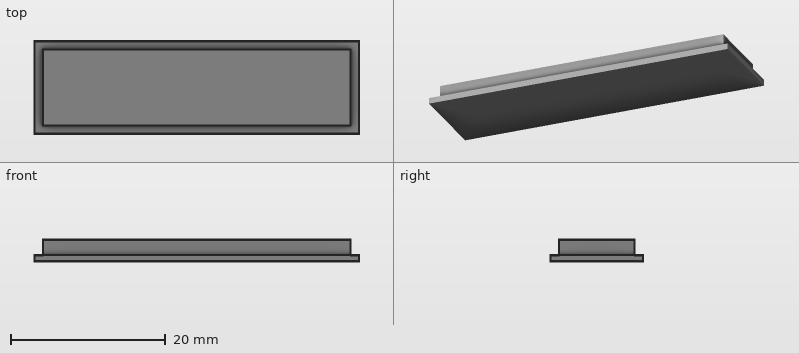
import cadquery as cq

flange_length = 42.0
flange_width = 12.0
total_height = 2.8
flange_thickness = 0.8
rim = 1.1

block_length = flange_length - 2 * rim
block_width = flange_width - 2 * rim
block_height = total_height - flange_thickness


def make_flange():
    """Thin rectangular plate resting on the XY plane."""
    return cq.Workplane("XY").box(
        flange_length, flange_width, flange_thickness, centered=(True, True, False)
    )


def add_raised_block(plate):
    """Centred rectangular block standing on top of the plate."""
    return plate.faces(">Z").workplane().rect(block_length, block_width).extrude(block_height)


result = add_raised_block(make_flange())